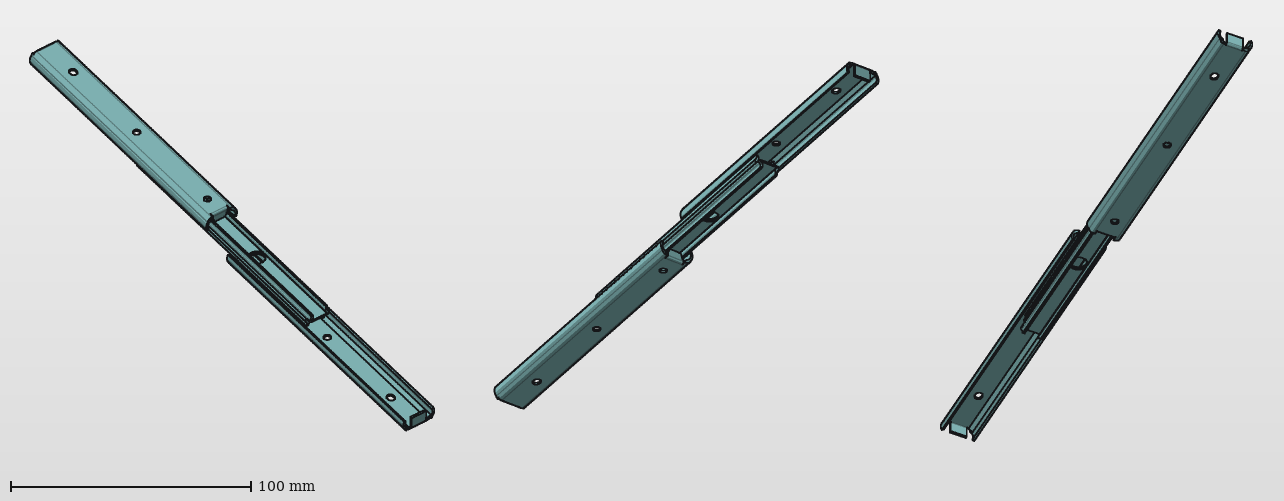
import cadquery as cq
import math

TOTAL_LENGTH = 264.8
HEIGHT = 15.0
RAIL_LENGTH = 125.0
CHANNEL_LENGTH = 121.0
CHANNEL_OUTER_END = 62.0

RAIL_OUTER_END = -TOTAL_LENGTH / 2
RAIL_INNER_END = RAIL_OUTER_END + RAIL_LENGTH
CHANNEL_START = CHANNEL_OUTER_END - CHANNEL_LENGTH

RAIL_SHEET = 1.0
RAIL_TOP = HEIGHT / 2
RAIL_UNDERSIDE = RAIL_TOP - RAIL_SHEET
WEB_HALF_WIDTH = 5.0
RACE_HEIGHT = 3.2
RAIL_RACE_RADIUS = 4.2
RACE_INSET = 1.27
RAIL_RACE_CENTRE_Y = WEB_HALF_WIDTH - RACE_INSET
FLANGE_TOP_ANGLE = 36.0
FLANGE_LIP_ANGLE = -28.0
SHOULDER_BULGE = 0.42

BEND_RADIUS = 1.1
OUTER_TAB_HALF_WIDTH = 3.7
OUTER_TAB_TIP = 1.3
RELIEF_HALF_WIDTH = 6.4
RELIEF_DEPTH = 0.65
RELIEF_FLOOR = 5.8
INNER_TAB_SETBACK = 1.0
INNER_TAB_HALF_WIDTH = 4.2
INNER_TAB_TIP_HALF_WIDTH = 2.6
INNER_TAB_TIP = 3.0

HOLE_DIAMETER = 3.2
SLOT_LENGTH = 4.0
SLOT_X = -112.5
MIDDLE_HOLE_X = -67.5
INNER_HOLE_X = -17.5

CHANNEL_SHEET = 0.8
CHANNEL_HALF_WIDTH = 5.0
CHANNEL_HEIGHT = 4.2
CHANNEL_BEND_RADIUS = 1.0
CHANNEL_BEND_CENTRE_Y = CHANNEL_HALF_WIDTH - CHANNEL_BEND_RADIUS
WAIST_HALF_WIDTH = 4.2
BORE_HALF_WIDTH = 3.2
WAIST_OFFSET = WAIST_HALF_WIDTH - CHANNEL_BEND_CENTRE_Y
RACE_RISE = RACE_HEIGHT - CHANNEL_BEND_RADIUS
CHANNEL_RACE_RADIUS = (WAIST_OFFSET**2 + RACE_RISE**2 - CHANNEL_BEND_RADIUS**2) / (
    2 * (CHANNEL_BEND_RADIUS - WAIST_OFFSET)
)
CHANNEL_RACE_CENTRE_Y = WAIST_HALF_WIDTH + CHANNEL_RACE_RADIUS
CHANNEL_FLOOR_HALF_WIDTH = 4.0
ARM_END_CHAMFER = 0.8
ACCESS_HOLE_DIAMETER = 7.5

DIAGONAL = math.sqrt(0.5)


def race_point(radius, angle):
    """Point (y, z) of the rail race at an angle above horizontal, +Y side."""
    turn = math.radians(angle)
    return (
        RAIL_RACE_CENTRE_Y + radius * math.cos(turn),
        RACE_HEIGHT + radius * math.sin(turn),
    )


def shoulder_middle(start, end):
    """Middle point of the shoulder arc, bowed outwards from its chord."""
    run = end[0] - start[0]
    drop = start[1] - end[1]
    chord = math.hypot(run, drop)
    return (
        (start[0] + end[0]) / 2 + SHOULDER_BULGE * drop / chord,
        (start[1] + end[1]) / 2 + SHOULDER_BULGE * run / chord,
    )


def mirrored_extrusion(half_section, x_start, length):
    """Extrude a closed +Y half section along X and join it to its mirror image."""
    half = half_section.extrude(length).translate((x_start, 0, 0))
    return half.union(half.mirror("XZ"))


def centred_box(x_start, x_end, half_width, z_low, z_high):
    return (
        cq.Workplane("XY", origin=((x_start + x_end) / 2, 0, z_low))
        .rect(x_end - x_start, 2 * half_width)
        .extrude(z_high - z_low)
    )


def rail_extrusion():
    """Flat web, rounded shoulders and a curved ball race down each side."""
    inner_radius = RAIL_RACE_RADIUS - RAIL_SHEET
    outer_web = (WEB_HALF_WIDTH, RAIL_TOP)
    outer_top = race_point(RAIL_RACE_RADIUS, FLANGE_TOP_ANGLE)
    inner_web = (WEB_HALF_WIDTH - RAIL_SHEET / 2, RAIL_UNDERSIDE)
    inner_top = race_point(inner_radius, FLANGE_TOP_ANGLE)
    half_section = (
        cq.Workplane("YZ")
        .moveTo(0, RAIL_TOP)
        .lineTo(*outer_web)
        .threePointArc(shoulder_middle(outer_web, outer_top), outer_top)
        .threePointArc(race_point(RAIL_RACE_RADIUS, 0), race_point(RAIL_RACE_RADIUS, FLANGE_LIP_ANGLE))
        .lineTo(*race_point(inner_radius, FLANGE_LIP_ANGLE))
        .threePointArc(race_point(inner_radius, 0), inner_top)
        .lineTo(*inner_web)
        .lineTo(0, RAIL_UNDERSIDE)
        .close()
    )
    return mirrored_extrusion(half_section, RAIL_OUTER_END, RAIL_LENGTH)


def bent_tab(face_x, outward, half_width, tip):
    """End tab bent down from the web; its outer face is at face_x and faces outward (+1 or -1)."""
    bend_x = face_x - outward * BEND_RADIUS
    bend_z = RAIL_TOP - BEND_RADIUS
    inside_radius = BEND_RADIUS - RAIL_SHEET

    def bend_middle(radius):
        return (bend_x + outward * radius * DIAGONAL, bend_z + radius * DIAGONAL)

    return (
        cq.Workplane("XZ")
        .moveTo(bend_x, RAIL_TOP)
        .threePointArc(bend_middle(BEND_RADIUS), (face_x, bend_z))
        .lineTo(face_x, tip)
        .lineTo(face_x - outward * RAIL_SHEET, tip)
        .lineTo(face_x - outward * RAIL_SHEET, bend_z)
        .threePointArc(bend_middle(inside_radius), (bend_x, RAIL_UNDERSIDE))
        .close()
        .extrude(half_width, both=True)
    )


def add_outer_end(rail):
    """Straight tab closing the outer end, with a shallow relief beside it."""
    relief = centred_box(
        RAIL_OUTER_END, RAIL_OUTER_END + RELIEF_DEPTH, RELIEF_HALF_WIDTH, RELIEF_FLOOR, RAIL_TOP
    )
    seat = centred_box(
        RAIL_OUTER_END, RAIL_OUTER_END + BEND_RADIUS, OUTER_TAB_HALF_WIDTH, RELIEF_FLOOR, RAIL_TOP
    )
    tab = bent_tab(RAIL_OUTER_END, -1, OUTER_TAB_HALF_WIDTH, OUTER_TAB_TIP)
    return rail.cut(relief).cut(seat).union(tab)


def add_inner_end(rail):
    """Tapered stop tab that hangs in a notch at the inner end and clears the channel arms."""
    face_x = RAIL_INNER_END - INNER_TAB_SETBACK
    bend_z = RAIL_TOP - BEND_RADIUS
    notch = centred_box(
        face_x - BEND_RADIUS, RAIL_INNER_END, INNER_TAB_HALF_WIDTH, RELIEF_FLOOR, RAIL_TOP
    )
    taper = (
        cq.Workplane("YZ", origin=(face_x - BEND_RADIUS, 0, 0))
        .moveTo(-INNER_TAB_HALF_WIDTH, RAIL_TOP)
        .lineTo(INNER_TAB_HALF_WIDTH, RAIL_TOP)
        .lineTo(INNER_TAB_HALF_WIDTH, bend_z)
        .lineTo(INNER_TAB_TIP_HALF_WIDTH, INNER_TAB_TIP)
        .lineTo(-INNER_TAB_TIP_HALF_WIDTH, INNER_TAB_TIP)
        .lineTo(-INNER_TAB_HALF_WIDTH, bend_z)
        .close()
        .extrude(BEND_RADIUS)
    )
    tab = bent_tab(face_x, 1, INNER_TAB_HALF_WIDTH, INNER_TAB_TIP).intersect(taper)
    return rail.cut(notch).union(tab)


def cut_rail_holes(rail):
    """Two round screw holes and one slot along the web."""
    above_web = cq.Workplane("XY", origin=(0, 0, RAIL_TOP))
    round_holes = (
        above_web.pushPoints([(MIDDLE_HOLE_X, 0), (INNER_HOLE_X, 0)])
        .circle(HOLE_DIAMETER / 2)
        .extrude(-RAIL_SHEET)
    )
    slot = above_web.center(SLOT_X, 0).slot2D(SLOT_LENGTH, HOLE_DIAMETER).extrude(-RAIL_SHEET)
    return rail.cut(round_holes).cut(slot)


def make_rail():
    return cut_rail_holes(add_inner_end(add_outer_end(rail_extrusion())))


def channel_extrusion():
    """U section with its web on the split plane and a hollow ball race outside each arm."""
    shoulder_side = (CHANNEL_HALF_WIDTH, CHANNEL_BEND_RADIUS)
    share = CHANNEL_BEND_RADIUS / (CHANNEL_BEND_RADIUS + CHANNEL_RACE_RADIUS)
    race_start = (
        CHANNEL_BEND_CENTRE_Y + share * (CHANNEL_RACE_CENTRE_Y - CHANNEL_BEND_CENTRE_Y),
        CHANNEL_BEND_RADIUS + share * RACE_RISE,
    )
    tip_y = CHANNEL_RACE_CENTRE_Y - math.sqrt(
        CHANNEL_RACE_RADIUS**2 - (CHANNEL_HEIGHT - RACE_HEIGHT) ** 2
    )
    half_section = (
        cq.Workplane("YZ")
        .moveTo(0, 0)
        .lineTo(CHANNEL_BEND_CENTRE_Y, 0)
        .threePointArc(shoulder_side, race_start)
        .threePointArc((WAIST_HALF_WIDTH, RACE_HEIGHT), (tip_y, CHANNEL_HEIGHT))
        .lineTo(tip_y - CHANNEL_SHEET, CHANNEL_HEIGHT)
        .threePointArc((BORE_HALF_WIDTH, RACE_HEIGHT), (CHANNEL_FLOOR_HALF_WIDTH, CHANNEL_SHEET))
        .lineTo(0, CHANNEL_SHEET)
        .close()
    )
    return mirrored_extrusion(half_section, CHANNEL_START, CHANNEL_LENGTH)


def make_channel():
    """Inner channel with access holes over the rail screws and its outer arm ends chamfered."""
    access_holes = (
        cq.Workplane("XY")
        .pushPoints([(INNER_HOLE_X, 0), (-INNER_HOLE_X, 0)])
        .circle(ACCESS_HOLE_DIAMETER / 2)
        .extrude(CHANNEL_SHEET)
    )
    arm_corner = (
        cq.Workplane("XZ")
        .moveTo(CHANNEL_OUTER_END, CHANNEL_HEIGHT)
        .lineTo(CHANNEL_OUTER_END - ARM_END_CHAMFER, CHANNEL_HEIGHT)
        .lineTo(CHANNEL_OUTER_END, CHANNEL_HEIGHT - ARM_END_CHAMFER)
        .close()
        .extrude(CHANNEL_HALF_WIDTH, both=True)
    )
    return channel_extrusion().cut(access_holes).cut(arm_corner)


def twins(body):
    """The body and a separate copy turned half a turn about the Y axis."""
    return [body.rotate((0, 0, 0), (0, 1, 0), turn).val() for turn in (0, 180)]


rails = twins(make_rail())
channels = twins(make_channel())
result = cq.Compound.makeCompound([*rails, *channels])